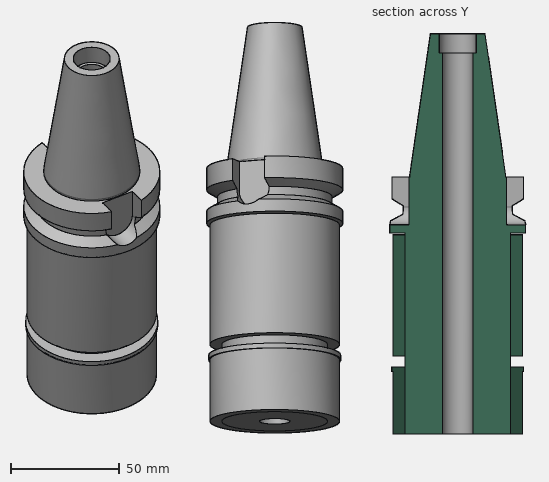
import cadquery as cq

total_height = 185.4
gauge_z = 120.0
flange_top_z = 119.0
upper_rim_bottom_z = 108.8
groove_top_z = 105.7
groove_bottom_z = 101.8
lower_rim_top_z = 98.8
flange_bottom_z = 93.0
sleeve_top_z = 92.3
sleeve_bottom_z = 36.2
nut_top_z = 31.1
nut_collar_bottom_z = 29.0

taper_ratio = 7 / 24
gauge_radius = 22.2
taper_tip_radius = gauge_radius - (total_height - gauge_z) * taper_ratio / 2
flange_radius = 31.5
groove_radius = 26.5
shank_radius = 24.5
sleeve_radius = 30.0
nut_radius = sleeve_radius
nut_collar_radius = 30.5

bore_radius = 7.0
counterbore_radius = 8.5
counterbore_depth = 8.9

slot_width = 16.1
slot_floor_x = 22.6
slot_bottom_z = 97.0


def cylinder(radius, bottom_z, top_z):
    return cq.Workplane("XY").workplane(offset=bottom_z).circle(radius).extrude(top_z - bottom_z)


def drive_slot(side):
    """Cutter for one round-bottomed slot; side is -1 or +1 along X."""
    radius = slot_width / 2
    arc_center_z = slot_bottom_z + radius
    return (
        cq.Workplane("YZ", origin=(side * slot_floor_x, 0, 0))
        .moveTo(-radius, gauge_z)
        .lineTo(-radius, arc_center_z)
        .threePointArc((0, slot_bottom_z), (radius, arc_center_z))
        .lineTo(radius, gauge_z)
        .close()
        .extrude(side * flange_radius)
    )


def make_holder():
    """Taper, grooved flange and the straight shank that carries the sleeve and the nut."""
    profile = [
        (0, 0),
        (shank_radius, 0),
        (shank_radius, flange_bottom_z),
        (flange_radius, flange_bottom_z),
        (flange_radius, lower_rim_top_z),
        (groove_radius, groove_bottom_z),
        (groove_radius, groove_top_z),
        (flange_radius, upper_rim_bottom_z),
        (flange_radius, flange_top_z),
        (gauge_radius, flange_top_z),
        (gauge_radius, gauge_z),
        (taper_tip_radius, total_height),
        (0, total_height),
    ]
    holder = cq.Workplane("XZ").polyline(profile).close().revolve(360, (0, 0, 0), (0, 1, 0))
    for side in (-1, 1):
        holder = holder.cut(drive_slot(side))
    holder = holder.cut(cylinder(bore_radius, 0, total_height))
    return holder.cut(cylinder(counterbore_radius, total_height - counterbore_depth, total_height))


def make_sleeve():
    """Plain sleeve around the shank, just below the flange."""
    outside = cylinder(sleeve_radius, sleeve_bottom_z, sleeve_top_z)
    return outside.cut(cylinder(shank_radius, sleeve_bottom_z, sleeve_top_z))


def make_nut():
    """Ring-shaped nut at the end of the shank, with a thin collar at its top."""
    outside = cylinder(nut_radius, 0, nut_top_z)
    outside = outside.union(cylinder(nut_collar_radius, nut_collar_bottom_z, nut_top_z))
    return outside.cut(cylinder(shank_radius, 0, nut_top_z))


holder = make_holder()
sleeve = make_sleeve()
nut = make_nut()

result = cq.Compound.makeCompound([holder.val(), sleeve.val(), nut.val()])